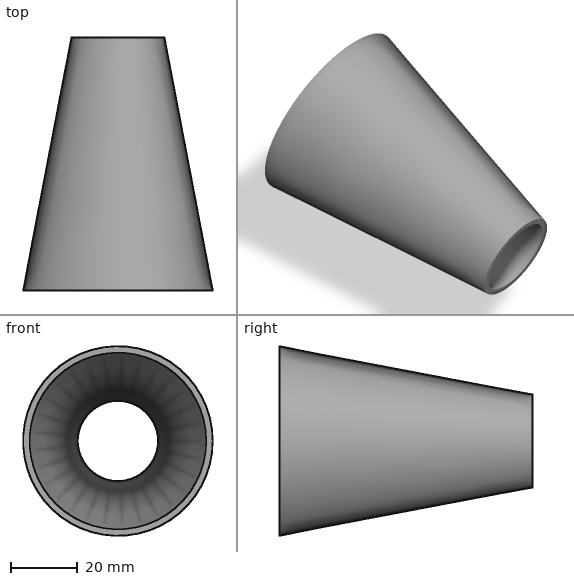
import cadquery as cq

length = 76.0
wide_diameter = 57.0
narrow_diameter = 28.0
wall = 2.0

wide_radius = wide_diameter / 2
narrow_radius = narrow_diameter / 2

wall_section = (
    cq.Workplane("XY")
    .moveTo(wide_radius - wall, 0)
    .lineTo(wide_radius, 0)
    .lineTo(narrow_radius, length)
    .lineTo(narrow_radius - wall, length)
    .close()
)

result = wall_section.revolve(360, (0, 0, 0), (0, 1, 0))